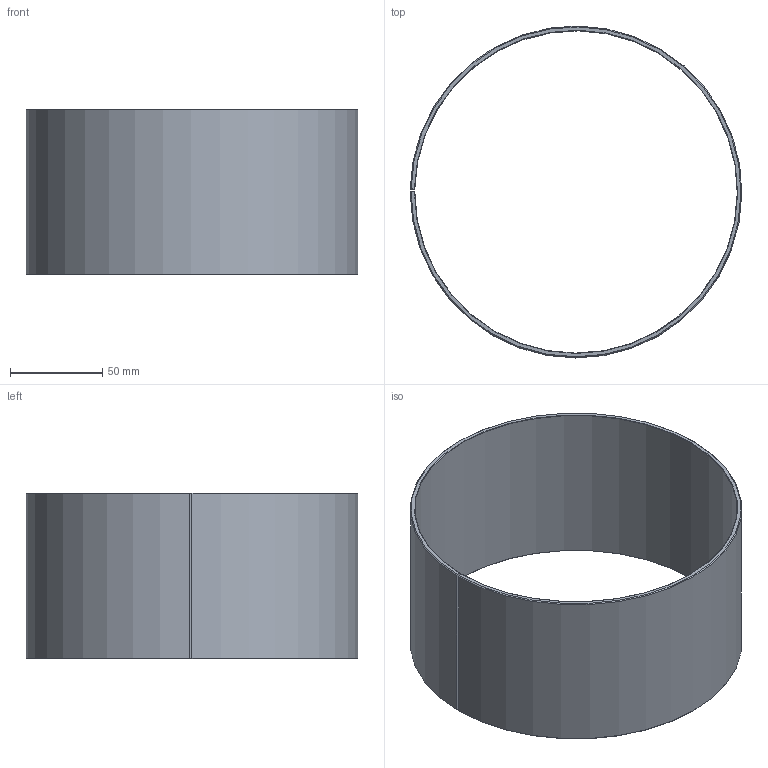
import cadquery as cq

outer_diameter = 180.0
wall_thickness = 2.5
height = 90.0
outer_chamfer = 0.5
inner_chamfer = 0.2
sweep_angle = 359.0

outer_radius = outer_diameter / 2
inner_radius = outer_radius - wall_thickness


def make_wall_section():
    """Section of the wall on the -X side, with all four corners chamfered."""
    return (
        cq.Workplane("XZ")
        .moveTo(-inner_radius, inner_chamfer)
        .lineTo(-inner_radius, height - inner_chamfer)
        .lineTo(-inner_radius - inner_chamfer, height)
        .lineTo(-outer_radius + outer_chamfer, height)
        .lineTo(-outer_radius, height - outer_chamfer)
        .lineTo(-outer_radius, outer_chamfer)
        .lineTo(-outer_radius + outer_chamfer, 0)
        .lineTo(-inner_radius - inner_chamfer, 0)
        .close()
    )


def make_slit_ring():
    """Revolve the wall about Z from -X through -Y, leaving the slit on the +Y side of -X."""
    axis_start = (0, 0, 0)
    axis_end = (0, 1, 0)
    return make_wall_section().revolve(sweep_angle, axis_start, axis_end)


result = make_slit_ring()